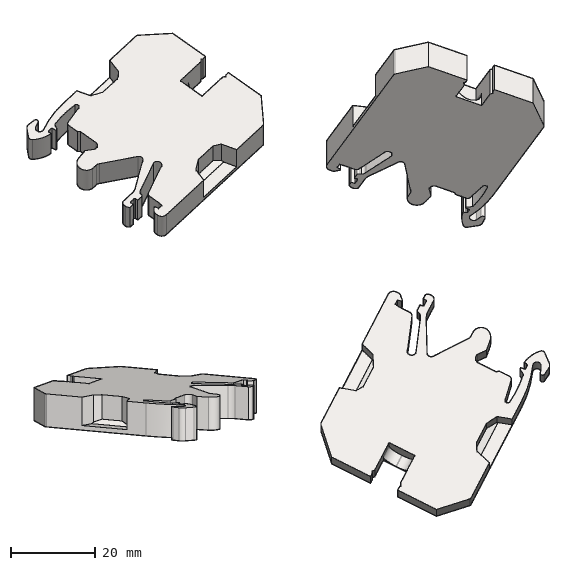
import cadquery as cq

WIDTH = 40.08
HEIGHT = 45.8
THICKNESS = 8.0
CENTRE_X = WIDTH / 2

CORNER_CHAMFER = 6.05
CORNER_ROUND = 0.7

SLOT_HALF_WIDTH = 3.45
ENTRY_DEPTH = 6.3
SEAT_END_DEPTH = 9.35
SEAT_ROUND = 3.4
SEAT_FLOOR_Z = THICKNESS / 2 - SLOT_HALF_WIDTH
MOUTH_HALF_WIDTH = 3.6
NOTCH_HALF_WIDTH = 3.9
MOUTH_DEPTH = 0.95
NOTCH_DEPTH = 1.35
NOTCH_END_DEPTH = 1.9

POCKET_DEPTH = 4.95
POCKET_FLOOR_Z = 1.15
POCKET_RAMP_START = 3.25
POCKET_RAMP_RISE = 0.95
POCKET_MOUTH_Y = (18.05, 29.95)
POCKET_SHOULDER_LOW = (3.5, 19.15)
POCKET_SHOULDER_HIGH = (3.85, 28.8)
POCKET_BACK_Y = (21.75, 27.1)

LEDGE_Y = 9.05
RECESS_Y = 9.53
CLIP_SEAT_Y = 6.0


def entry_slot(path):
    """Top edge with the screwdriver slot and its wall notches, left to right."""
    left_wall = [
        (MOUTH_HALF_WIDTH, 0),
        (MOUTH_HALF_WIDTH, MOUTH_DEPTH),
        (NOTCH_HALF_WIDTH, NOTCH_DEPTH),
        (SLOT_HALF_WIDTH, NOTCH_END_DEPTH),
        (SLOT_HALF_WIDTH, ENTRY_DEPTH),
    ]
    for offset, depth in left_wall:
        path = path.lineTo(CENTRE_X - offset, HEIGHT - depth)
    for offset, depth in reversed(left_wall):
        path = path.lineTo(CENTRE_X + offset, HEIGHT - depth)
    return path


def right_claw(path):
    """Fixed claw at the bottom of the right wall, ending at the spring slot."""
    sole_y = 3.05
    throat_x = 37.45
    throat_low_y = 4.7
    throat_high_y = 5.85
    tip_x = 36.45
    return (
        path.lineTo(WIDTH, 4.5)
        .threePointArc((39.6, 3.5), (38.5, sole_y))
        .lineTo(37.8, sole_y)
        .lineTo(throat_x, 3.15)
        .lineTo(36.35, 4.2)
        .lineTo(tip_x, 4.5)
        .lineTo(throat_x, throat_low_y)
        .lineTo(throat_x, throat_high_y)
        .lineTo(tip_x, CLIP_SEAT_Y)
        .lineTo(33.5, CLIP_SEAT_Y)
        .threePointArc((32.9, 6.2), (32.6, 6.6))
    )


def spring_leg(path):
    """Slanted slot, then the springy leg with its notched foot."""
    inner_x = 29.72
    outer_x = 32.15
    notch_x = 31.2
    notch_low_y = 1.65
    notch_high_y = 3.25
    notch_chamfer = 0.25
    return (
        path.lineTo(29.9, 14.15)
        .threePointArc((28.85, 15.2), (27.75, 14.05))
        .lineTo(30.6, 6.25)
        .threePointArc((30.85, 5.6), (31.3, 5.2))
        .lineTo(31.65, 5.15)
        .threePointArc((32.0, 5.0), (outer_x, 4.65))
        .lineTo(outer_x, notch_high_y)
        .lineTo(notch_x + notch_chamfer, notch_high_y)
        .lineTo(notch_x, notch_high_y - notch_chamfer)
        .lineTo(notch_x, notch_low_y)
        .lineTo(outer_x, notch_low_y)
        .lineTo(outer_x, 0.5)
        .threePointArc((31.75, 0.2), (31.2, 0))
        .lineTo(30.7, 0)
        .threePointArc((30.05, 0.25), (inner_x, 0.65))
        .lineTo(inner_x, 4.2)
        .threePointArc((29.6, 5.0), (29.2, 5.72))
    )


def centre_foot(path):
    """V-shaped gap beside the spring leg, then the round centre foot."""
    foot_right_x = 17.9
    return (
        path.lineTo(25.25, 13.05)
        .threePointArc((24.45, 13.4), (23.7, 13.0))
        .lineTo(18.25, 5.4)
        .threePointArc((18.0, 5.1), (foot_right_x, 4.63))
        .lineTo(foot_right_x, 3.25)
        .threePointArc((15.65, 1.35), (13.4, 3.1))
        .lineTo(13.05, 5.95)
        .lineTo(14.45, 7.8)
        .threePointArc((14.4, 9.0), (13.55, RECESS_Y))
    )


def left_latch(path):
    """Body underside, relief slot, notched latch leg and its hooked finger."""
    notch_x = 2.75
    notch_low_y = 4.55
    barb_x = 3.9
    return (
        path.lineTo(8.55, RECESS_Y)
        .lineTo(8.1, LEDGE_Y)
        .lineTo(5.2, LEDGE_Y)
        .threePointArc((4.75, 9.25), (4.55, 9.65))
        .lineTo(3.65, 14.43)
        .threePointArc((3.0, 15.05), (2.45, 14.65))
        .threePointArc((2.25, 11.1), (2.55, 7.15))
        .lineTo(barb_x, 6.4)
        .lineTo(barb_x, 6.0)
        .lineTo(notch_x, 5.85)
        .lineTo(notch_x, 4.7)
        .lineTo(3.05, notch_low_y)
        .lineTo(3.7, notch_low_y)
        .threePointArc((2.98, 2.25), (1.55, 0.27))
        .threePointArc((0.95, 0), (0.25, 0.3))
        .lineTo(-1.4, 1.7)
        .threePointArc((-1.95, 2.3), (-2.1, 3.1))
        .lineTo(-1.92, 4.85)
        .threePointArc((-1.37, 5.35), (-0.8, 4.85))
        .lineTo(-0.3, 3.5)
        .threePointArc((0.82, 2.95), (1.6, 4.1))
        .threePointArc((0.4, 8.47), (0, 13.0))
    )


def housing():
    """Plate extruded from the full outline, with the two side corners rounded."""
    path = cq.Workplane("XY").moveTo(0, HEIGHT - CORNER_CHAMFER)
    path = path.lineTo(CORNER_CHAMFER, HEIGHT)
    path = entry_slot(path)
    path = path.lineTo(WIDTH - CORNER_CHAMFER, HEIGHT)
    path = path.lineTo(WIDTH, HEIGHT - CORNER_CHAMFER)
    path = right_claw(path)
    path = spring_leg(path)
    path = centre_foot(path)
    path = left_latch(path)
    plate = path.close().extrude(THICKNESS)
    for x in (0, WIDTH):
        corner = cq.selectors.NearestToPointSelector((x, HEIGHT - CORNER_CHAMFER, THICKNESS / 2))
        plate = plate.edges("|Z").edges(corner).fillet(CORNER_ROUND)
    return plate


def screw_seat():
    """Open-topped seat behind the slot, with two large rounds at the bottom."""
    middle_y = HEIGHT - (SEAT_END_DEPTH + ENTRY_DEPTH) / 2
    return (
        cq.Workplane("XY", origin=(CENTRE_X, middle_y, SEAT_FLOOR_Z))
        .rect(2 * SLOT_HALF_WIDTH, SEAT_END_DEPTH - ENTRY_DEPTH)
        .extrude(THICKNESS)
        .faces("<Z").edges("|Y")
        .fillet(SEAT_ROUND)
    )


def left_pocket():
    """Wire-entry pocket of the left wall, with a floor that rises at the back."""
    low_y, high_y = POCKET_MOUTH_Y
    back_low_y, back_high_y = POCKET_BACK_Y
    opening = (
        cq.Workplane("XY")
        .polyline([
            (0, low_y),
            POCKET_SHOULDER_LOW,
            (POCKET_DEPTH, back_low_y),
            (POCKET_DEPTH, back_high_y),
            POCKET_SHOULDER_HIGH,
            (0, high_y),
        ])
        .close()
        .extrude(THICKNESS)
    )
    floor_profile = (
        cq.Workplane("XZ", origin=(0, HEIGHT, 0))
        .polyline([
            (0, POCKET_FLOOR_Z),
            (POCKET_RAMP_START, POCKET_FLOOR_Z),
            (POCKET_DEPTH, POCKET_FLOOR_Z + POCKET_RAMP_RISE),
            (POCKET_DEPTH, THICKNESS),
            (0, THICKNESS),
        ])
        .close()
        .extrude(HEIGHT)
    )
    return opening.intersect(floor_profile)


pocket = left_pocket()
opposite_pocket = pocket.mirror("YZ", (CENTRE_X, 0, 0))
result = housing().cut(screw_seat()).cut(pocket).cut(opposite_pocket)